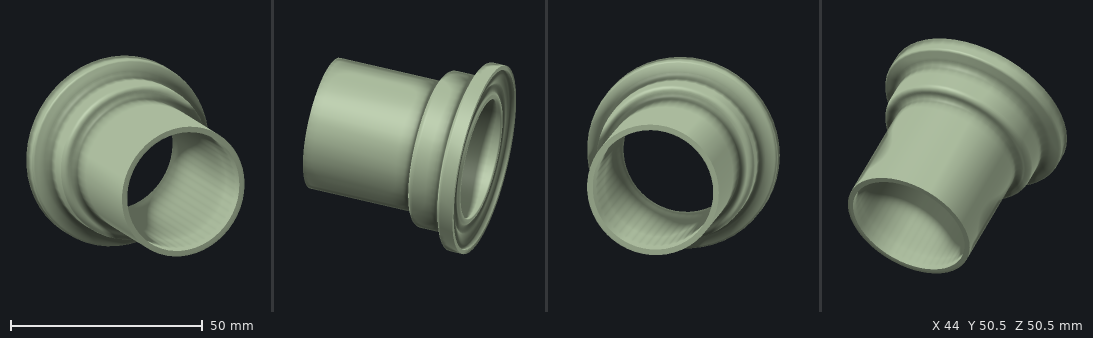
import cadquery as cq
import math

length = 44.0

flange_radius = 50.5 / 2
hub_radius = 42.0 / 2
tube_radius = 35.0 / 2
bore_radius = 32.0 / 2
flange_back = 4.05
cone_angle = 20.0
hub_end = 14.1

recess_depth = 1.25
recess_mouth_radius = 24.1
recess_floor_radius = 47.7 / 2

lip_depth = 0.8
groove_outer_radius = 20.25
groove_inner_radius = 17.05
outer_flank_angle = 30.0
inner_flank_angle = 45.0

rim_round = 0.8
cone_round = 1.95
shoulder_round = 1.5
recess_round = 0.5
groove_edge_round = 0.75
groove_round = 2.2
lip_round = 1.0
bore_round = 0.4


def rounded_profile(corners):
    """Closed XY outline through (x, radius, round) corners; a zero round stays sharp."""
    outline = None
    for i, (x, y, rounding) in enumerate(corners):
        corner = cq.Vector(x, y)
        before = cq.Vector(*corners[i - 1][:2])
        after = cq.Vector(*corners[(i + 1) % len(corners)][:2])
        to_before = (before - corner).normalized()
        to_after = (after - corner).normalized()
        half_angle = to_before.getAngle(to_after) / 2
        setback = rounding / math.tan(half_angle)
        start = corner + to_before * setback
        if outline is None:
            outline = cq.Workplane("XY").moveTo(start.x, start.y)
        else:
            outline = outline.lineTo(start.x, start.y)
        if rounding > 0:
            end = corner + to_after * setback
            bisector = (to_before + to_after).normalized()
            middle = corner + bisector * (rounding / math.sin(half_angle) - rounding)
            outline = outline.threePointArc((middle.x, middle.y), (end.x, end.y))
    return outline.close()


cone_foot = flange_back + (flange_radius - hub_radius) * math.tan(math.radians(cone_angle))

outer_slope = math.tan(math.radians(outer_flank_angle))
inner_slope = math.tan(math.radians(inner_flank_angle))
groove_radius = (
    recess_depth - lip_depth + groove_outer_radius * outer_slope + groove_inner_radius * inner_slope
) / (outer_slope + inner_slope)
groove_depth = recess_depth + (groove_outer_radius - groove_radius) * outer_slope

outside = [
    (0, flange_radius, 0),
    (flange_back, flange_radius, rim_round),
    (cone_foot, hub_radius, cone_round),
    (hub_end, hub_radius, shoulder_round),
    (hub_end, tube_radius, shoulder_round),
    (length, tube_radius, 0),
]
inside = [
    (length, bore_radius, 0),
    (lip_depth, bore_radius, bore_round),
    (lip_depth, groove_inner_radius, lip_round),
    (groove_depth, groove_radius, groove_round),
    (recess_depth, groove_outer_radius, groove_edge_round),
    (recess_depth, recess_floor_radius, recess_round),
    (0, recess_mouth_radius, 0),
]

result = rounded_profile(outside + inside).revolve(360, (0, 0, 0), (1, 0, 0))